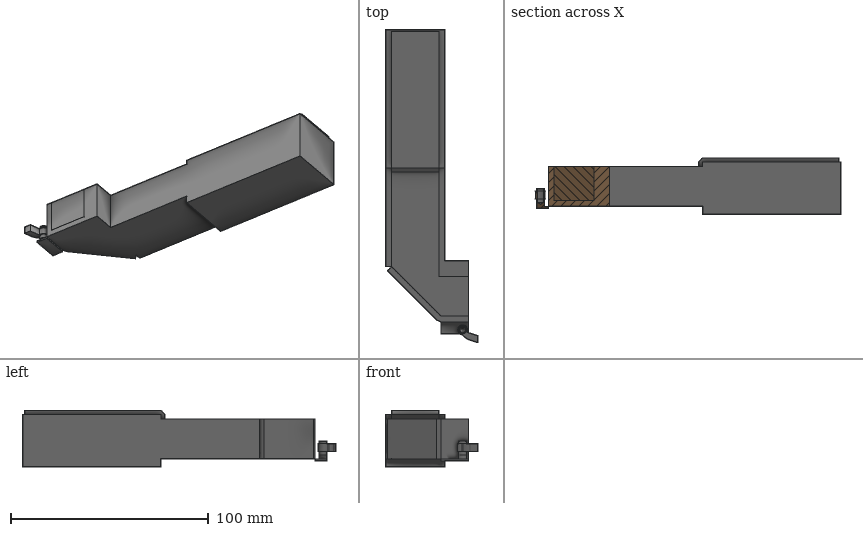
import cadquery as cq
import math


WALL = 3.0
BACK_WALL = 1.0
END_WALL = 8.0
CORE_WIDTH = 24.0
ARM_END_X = 39.0

HANDLE_LENGTH = 70.0
BEND_Y = 120.0
END_WALL_Y = 117.0
FRONT_Y = 145.0
SLANT_ANGLE = 45.0

HANDLE_HEIGHT = 26.6
ARM_BOTTOM = 4.1
FLOOR_THICKNESS = 3.0
ARM_HEIGHT = 20.2
HUMP_RISE = 2.0

PLATE_THICKNESS = 1.0
PLATE_LENGTH = 6.0
POST_DIAMETER = 4.0
POST_HEIGHT = 9.0
POST_BORE = 3.0
BORE_FLOOR = 2.0
DRILL_TIP_DEPTH = 0.9
POST_FROM_ARM_END = 3.0

RING_DIAMETER = 5.0
LEVER_HEIGHT = 4.0
LEVER_LIFT = 3.7
LEVER_WIDTH = 3.4
LEVER_ROOT_ANGLE = 45.0
LEVER_TIP_ANGLE = 18.0
LEVER_BEND_RADIUS = 8.3
LEVER_TIP_X = 43.7
LEVER_TIP_Y = 158.51
LEVER_BEND_END_X = 39.8

CORE_BOTTOM = ARM_BOTTOM + FLOOR_THICKNESS
ARM_TOP = ARM_BOTTOM + ARM_HEIGHT
HUMP_TOP = HANDLE_HEIGHT + HUMP_RISE
END_WALL_FRONT_Y = END_WALL_Y + END_WALL
FRONT_LEFT_X = (FRONT_Y - BEND_Y) / math.tan(math.radians(SLANT_ANGLE))
WALL_FRONT_Y = FRONT_Y + WALL
HUMP_FRONT_Y = HANDLE_LENGTH + HUMP_RISE
PLATE_FRONT_Y = WALL_FRONT_Y + PLATE_LENGTH
POST_X = ARM_END_X - POST_FROM_ARM_END
POST_Y = PLATE_FRONT_Y - POST_DIAMETER / 2


def box(x, y, z):
    """Box between the two limits of each axis, with Y counted forward from the back."""
    sizes = (x[1] - x[0], y[1] - y[0], z[1] - z[0])
    return cq.Workplane("XY").box(*sizes, centered=False).translate((x[0], -y[1], z[0]))


def arm_slab(bottom, top):
    """Slab with the bent outline that the core and the arm floor share."""
    outline = [
        (0, -BACK_WALL),
        (CORE_WIDTH, -BACK_WALL),
        (CORE_WIDTH, -END_WALL_FRONT_Y),
        (ARM_END_X, -END_WALL_FRONT_Y),
        (ARM_END_X, -FRONT_Y),
        (FRONT_LEFT_X, -FRONT_Y),
        (0, -BEND_Y),
    ]
    return cq.Workplane("XY", origin=(0, 0, bottom)).polyline(outline).close().extrude(top - bottom)


def slanted_wall():
    """Wall on the slanted side, with ends square to it."""
    length = math.hypot(FRONT_LEFT_X, FRONT_Y - BEND_Y)
    wall = cq.Workplane("XY").box(length, WALL, ARM_HEIGHT, centered=False)
    wall = wall.translate((0, -WALL, 0)).rotate((0, 0, 0), (0, 0, 1), -SLANT_ANGLE)
    return wall.translate((0, -BEND_Y, ARM_BOTTOM))


def front_corner():
    """Wedge that closes the gap between the slanted wall and the front wall with a flat bevel."""
    slant = math.radians(SLANT_ANGLE)
    return (
        cq.Workplane("XY", origin=(0, 0, ARM_BOTTOM))
        .moveTo(FRONT_LEFT_X, -FRONT_Y)
        .lineTo(FRONT_LEFT_X - WALL * math.sin(slant), -FRONT_Y - WALL * math.cos(slant))
        .lineTo(FRONT_LEFT_X, -WALL_FRONT_Y)
        .close()
        .extrude(ARM_HEIGHT)
    )


def make_core():
    """Bent core that fills the arm and the handle."""
    core = arm_slab(CORE_BOTTOM, ARM_TOP)
    hump = box((0, CORE_WIDTH), (BACK_WALL, HUMP_FRONT_Y), (CORE_BOTTOM, HUMP_TOP))
    hump = hump.edges(">Z and <Y").chamfer(HUMP_RISE)
    return core.union(hump)


def make_shell(core):
    """Handle block, arm floor and arm walls around the core."""
    arm_z = (ARM_BOTTOM, ARM_TOP)
    handle = box((-WALL, CORE_WIDTH + WALL), (0, HANDLE_LENGTH), (0, HANDLE_HEIGHT))
    floor = arm_slab(ARM_BOTTOM, CORE_BOTTOM)
    left_wall = box((-WALL, 0), (HANDLE_LENGTH, BEND_Y), arm_z)
    right_wall = box((CORE_WIDTH, CORE_WIDTH + WALL), (HANDLE_LENGTH, END_WALL_Y), arm_z)
    end_wall = box((CORE_WIDTH, ARM_END_X), (END_WALL_Y, END_WALL_FRONT_Y), arm_z)
    front_wall = box((FRONT_LEFT_X, ARM_END_X), (FRONT_Y, WALL_FRONT_Y), arm_z)
    shell = handle.union(floor)
    for wall in (left_wall, slanted_wall(), front_corner(), front_wall, end_wall, right_wall):
        shell = shell.union(wall)
    return shell.cut(core)


def post_cylinder(diameter, bottom, height):
    """Upright cylinder on the axis of the post."""
    origin = (POST_X, -POST_Y, bottom)
    return cq.Workplane("XY", origin=origin).circle(diameter / 2).extrude(height)


def make_foot():
    """Plate at the front of the arm with a hollow post."""
    plate_z = (ARM_BOTTOM - PLATE_THICKNESS, ARM_BOTTOM)
    plate = box((FRONT_LEFT_X, ARM_END_X), (WALL_FRONT_Y, PLATE_FRONT_Y), plate_z)
    post = post_cylinder(POST_DIAMETER, ARM_BOTTOM, POST_HEIGHT)
    bore_bottom = ARM_BOTTOM + BORE_FLOOR
    bore = post_cylinder(POST_BORE, bore_bottom, POST_HEIGHT - BORE_FLOOR)
    tip_base = cq.Vector(POST_X, -POST_Y, bore_bottom)
    tip = cq.Solid.makeCone(POST_BORE / 2, 0, DRILL_TIP_DEPTH, tip_base, cq.Vector(0, 0, -1))
    return plate.union(post).cut(bore).cut(cq.Workplane(tip))


def make_lever():
    """Ring around the post with a finger that is curved outside and straight inside."""
    root = math.radians(LEVER_ROOT_ANGLE)
    tip = math.radians(LEVER_TIP_ANGLE)
    bend_end_y = -LEVER_TIP_Y + (LEVER_TIP_X - LEVER_BEND_END_X) * math.tan(tip)
    center_x = LEVER_BEND_END_X + LEVER_BEND_RADIUS * math.sin(tip)
    center_y = bend_end_y + LEVER_BEND_RADIUS * math.cos(tip)

    def on_bend(angle):
        """Point of the outer bend where the finger falls at the given angle."""
        x = center_x - LEVER_BEND_RADIUS * math.sin(angle)
        y = center_y - LEVER_BEND_RADIUS * math.cos(angle)
        return (x, y)

    root_length = RING_DIAMETER / 2
    bend_start_x, bend_start_y = on_bend(root)
    root_x = bend_start_x - root_length * math.cos(root)
    root_y = bend_start_y + root_length * math.sin(root)
    inner_tip_y = -LEVER_TIP_Y + LEVER_WIDTH / math.cos(tip)
    inner_root_y = inner_tip_y + (LEVER_TIP_X - POST_X) * math.tan(tip)

    bottom = ARM_BOTTOM + LEVER_LIFT
    finger = (
        cq.Workplane("XY", origin=(0, 0, bottom))
        .moveTo(root_x, root_y)
        .lineTo(bend_start_x, bend_start_y)
        .threePointArc(on_bend((root + tip) / 2), on_bend(tip))
        .lineTo(LEVER_TIP_X, -LEVER_TIP_Y)
        .lineTo(LEVER_TIP_X, inner_tip_y)
        .lineTo(POST_X, inner_root_y)
        .close()
        .extrude(LEVER_HEIGHT)
    )
    ring = post_cylinder(RING_DIAMETER, bottom, LEVER_HEIGHT)
    return ring.union(finger).cut(post_cylinder(POST_DIAMETER, bottom, LEVER_HEIGHT))


core = make_core()
shell = make_shell(core)
foot = make_foot()
lever = make_lever()

result = cq.Compound.makeCompound([shell.val(), core.val(), foot.val(), lever.val()])